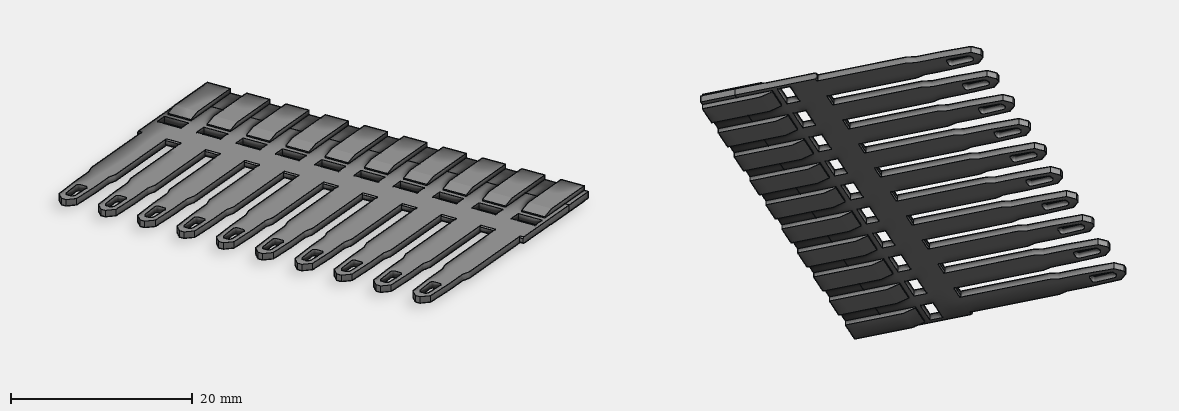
import cadquery as cq

width = 50.0
length = 32.2
pad_height = 1.9
plate_height = 0.8

count = 10
pitch = 5.1
centers = [(i - (count - 1) / 2) * pitch for i in range(count)]

strip_depth = 4.0
pad_width = 3.0
pad_flat_length = 6.8
pad_length = 8.2
pad_lip_height = 0.15

shoulder_y = -13.6
shoulder_chamfer = 0.15
window_width = 3.1
window_rear_y = -8.8
window_front_y = -10.3

tine_half = 1.6
neck_half = 1.3
end_half = 1.15
tip_half = 0.3
tine_root_y = shoulder_y + shoulder_chamfer
neck_start_y = -23.95
neck_radius = 1.0
neck_end_y = -24.95
end_taper_y = -27.7
tip_start_y = -31.35

eye_rear_y = -28.2
eye_front_y = -31.15
eye_rear_half = 0.7
eye_front_half = 0.55
eye_corner_radius = 0.35
eye_end_radius = 0.5


def box_between(x_center, size_x, y_front, y_rear, height):
    """Box centred on Z = 0, spanning y_front to y_rear."""
    return cq.Workplane("XY").box(size_x, y_rear - y_front, height).translate(
        (x_center, (y_front + y_rear) / 2, 0)
    )


def make_tine(x_center):
    right_side = [
        (tine_half, tine_root_y),
        (tine_half, neck_start_y),
        (neck_half, neck_end_y),
        (neck_half, end_taper_y),
        (end_half, tip_start_y),
        (tip_half, -length),
    ]
    left_side = [(-x, y) for x, y in reversed(right_side)]
    tine = cq.Workplane("XY").polyline(right_side + left_side).close().extrude(plate_height / 2, both=True)
    for side in (1, -1):
        neck_corner = cq.selectors.NearestToPointSelector((side * tine_half, neck_start_y, 0))
        tine = tine.edges(neck_corner).fillet(neck_radius)
    return tine.cut(make_eye()).translate((x_center, 0, 0))


def make_eye():
    outline = [
        (-eye_rear_half, eye_rear_y),
        (eye_rear_half, eye_rear_y),
        (eye_front_half, eye_front_y),
        (-eye_front_half, eye_front_y),
    ]
    eye = cq.Workplane("XY").polyline(outline).close().extrude(plate_height, both=True)
    eye = eye.edges("|Z and >Y").fillet(eye_corner_radius)
    return eye.edges("|Z and <Y").fillet(eye_end_radius)


def make_comb():
    comb = box_between(0, width, shoulder_y, -strip_depth, plate_height)
    comb = comb.faces("<Y").edges("|X").chamfer(shoulder_chamfer)
    for x in centers:
        comb = comb.union(make_tine(x))
        comb = comb.cut(box_between(x, window_width, window_front_y, window_rear_y, plate_height))
    return comb


def make_pad(x_center, side):
    """Pad on the upper (side = 1) or lower (side = -1) face, ramping down to the plate."""
    inner_z = side * plate_height / 2
    outer_z = side * pad_height / 2
    lip_z = inner_z + side * pad_lip_height
    profile = [
        (0, inner_z),
        (0, outer_z),
        (-pad_flat_length, outer_z),
        (-pad_length, lip_z),
        (-pad_length, inner_z),
    ]
    pad = cq.Workplane("YZ").polyline(profile).close().extrude(pad_width / 2, both=True)
    return pad.translate((x_center, 0, 0))


def make_clip():
    clip = box_between(0, width, -strip_depth, 0, plate_height)
    for x in centers:
        for side in (1, -1):
            clip = clip.union(make_pad(x, side))
    return clip


comb = make_comb()
clip = make_clip()
result = cq.Compound.makeCompound([comb.val(), clip.val()])